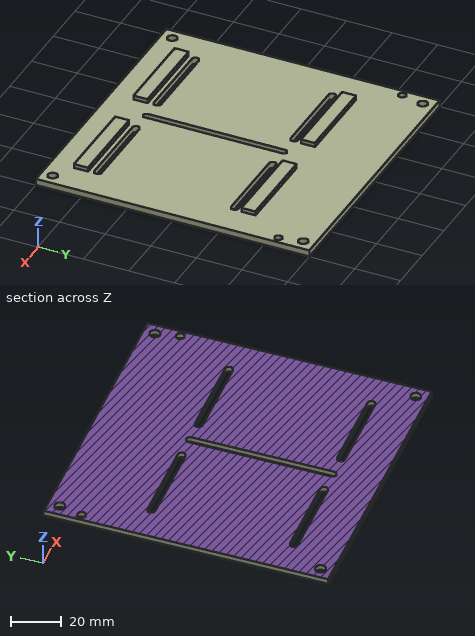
import cadquery as cq

plate_side = 120.0
plate_thickness = 3.0
total_height = 4.8

corner_hole_diameter = 4.1
corner_hole_offset = 55.0
side_hole_diameter = 3.2
side_hole_x = 57.0
side_hole_y = 45.0

pattern_center_y = -10.0
pair_x = 27.4
pair_length = 37.9
slot_offset_y = 30.0
slot_width = 3.0
bar_offset_y = 36.7
bar_width = 6.1
bar_height = total_height - plate_thickness

center_slot_width = 2.8
center_slot_length = 2 * slot_offset_y + slot_width


def mirrored_points(x, y_offset):
    """Four points mirrored about X = 0 and the pattern centre line."""
    return [
        (x_sign * x, pattern_center_y + y_sign * y_offset)
        for x_sign in (-1, 1)
        for y_sign in (-1, 1)
    ]


def make_plate():
    plate = cq.Workplane("XY").box(
        plate_side, plate_side, plate_thickness, centered=(True, True, False)
    )
    corner_spacing = 2 * corner_hole_offset
    plate = (
        plate.faces(">Z").workplane(origin=(0, 0, 0))
        .rect(corner_spacing, corner_spacing, forConstruction=True)
        .vertices()
        .hole(corner_hole_diameter)
    )
    return (
        plate.faces(">Z").workplane(origin=(0, 0, 0))
        .pushPoints([(-side_hole_x, side_hole_y), (side_hole_x, side_hole_y)])
        .hole(side_hole_diameter)
    )


def make_slots():
    row_slots = (
        cq.Workplane("XY")
        .pushPoints(mirrored_points(pair_x, slot_offset_y))
        .slot2D(pair_length, slot_width)
        .extrude(plate_thickness)
    )
    center_slot = (
        cq.Workplane("XY")
        .center(0, pattern_center_y)
        .slot2D(center_slot_length, center_slot_width, 90)
        .extrude(plate_thickness)
    )
    return row_slots.union(center_slot)


def make_bars():
    return (
        cq.Workplane("XY", origin=(0, 0, plate_thickness))
        .pushPoints(mirrored_points(pair_x, bar_offset_y))
        .rect(pair_length, bar_width)
        .extrude(bar_height)
    )


result = make_plate().cut(make_slots()).union(make_bars())